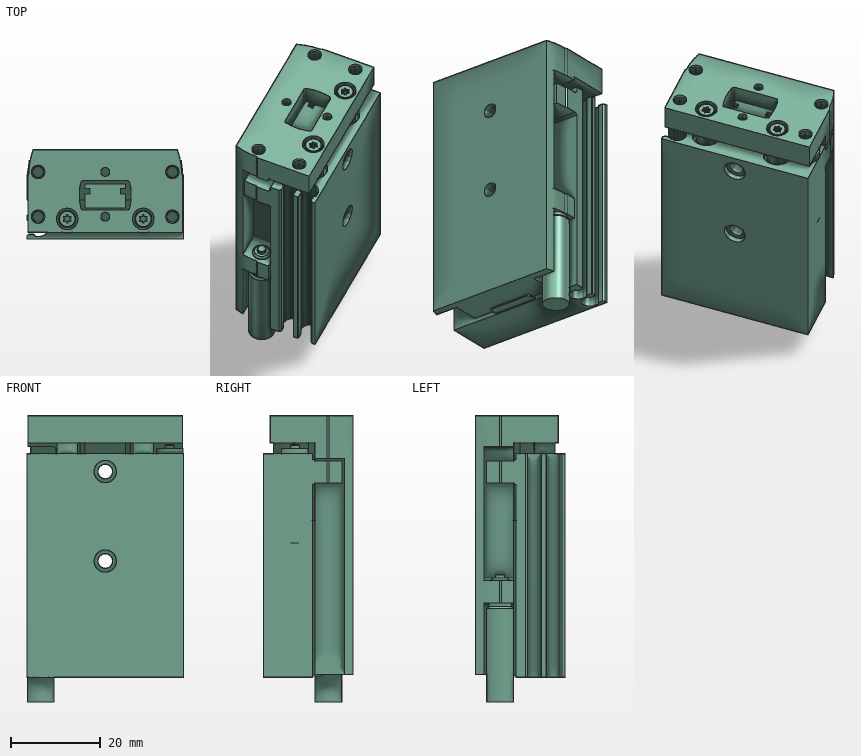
import cadquery as cq
import math


HOUSING_WIDTH = 35.0
HOUSING_DEPTH = 10.9
HOUSING_HEIGHT = 50.0
HOUSING_SIDE = HOUSING_WIDTH / 2

SENSOR_SLOT_YS = (2.6, 6.9)
SENSOR_SLOT_BORE = 4.0
SENSOR_SLOT_OPENING = 3.0
SENSOR_SLOT_X = -14.7
SENSOR_SLOT_SHOULDER_X = -16.0
FIN_CHAMFER = 0.2
OUTER_SLOT_CHAMFER = 0.43

MOUNT_HOLE_ZS = (26.0, 46.0)
MOUNT_HOLE_DIAMETER = 3.24
MOUNT_COUNTERBORE_DIAMETER = 5.0
MOUNT_COUNTERBORE_DEPTH = 1.2

RAIL_WIDTH = 9.0
RAIL_FRONT = 6.93
RAIL_BACK = 12.35
RAIL_BOTTOM = 0.3
RAIL_BED_TOP = 35.1
RAIL_TOP = 55.2
RAIL_NOTCH_FRONT = 10.1
RAIL_NOTCH_BACK = 11.35
RAIL_NOTCH_DEPTH = 1.1
RAIL_POCKET_FRONT = 8.72
RAIL_POCKET_WIDTH = 12.0

LUG_BOTTOM = 43.4
LUG_TOP = 48.4
LUG_BACK = 17.5
LUG_INNER_X = 11.4
LUG_ROOT_CHAMFER = 0.5

SLIDE_WIDTH = 34.6
SLIDE_SIDE = SLIDE_WIDTH / 2
SLIDE_BACK = 20.0
SLIDE_FRONT = 11.55
SLIDE_BOTTOM = 0.6
SLIDE_TOP = 58.5
YOKE_FRONT = 1.5
YOKE_BOTTOM = 52.4
FLANK_BEVEL_START = 14.2
FLANK_START = 14.6
FLANK_STEP = 0.25
FLANK_RADIUS = 16.0

RECESS_BACK = 18.1
RECESS_WALL_X = 11.0
RECESS_TOP = 51.6
HOLDER_BOTTOM = 16.6
HOLDER_TOP = 21.6
RECESS_FILLET = 0.75

CHANNEL_FRONT = 6.5
CHANNEL_BACK = 13.05
CHANNEL_END_WIDTH = 10.7
CHANNEL_WIDTH = 11.6
CHANNEL_FILLET = 0.6

TAPPED_HOLE_X = 15.0
DOWEL_DIAMETER = 2.0
YOKE_HOLE_YS = (5.0, 15.0)
TAPPED_HOLE_DIAMETER = 2.46
TAPPED_HOLE_RIM = 3.0
YOKE_HOLE_DEPTH = 4.0

ROD_X = 8.5
ROD_Y = 4.5
ROD_DIAMETER = 4.6
ROD_BOTTOM = 5.0
ROD_CLEARANCE_DIAMETER = 6.3
ROD_CLEARANCE_DEPTH = 2.0
ROD_HEAD_DIAMETER = 3.8
ROD_HEAD_CHAMFER = 0.17
ROD_HEAD_DROP = 0.3
ROD_HEAD_RECESS_DIAMETER = 4.8
ROD_HEAD_RECESS_DEPTH = 2.0
TORX_DIAMETER = 1.9
TORX_LOBE_WIDTH = 0.4
TORX_LOBE_ANGLES = (30, 90, 150)
TORX_CORE_DIAMETER = 1.2
TORX_DEPTH = 1.0

ABSORBER_X = 14.4
ABSORBER_DIAMETER = 6.0
SHOCK_Y = 14.5
SHOCK_BOTTOM = -5.5
SHOCK_BODY_TOP = 15.85
SHOCK_BODY_CHAMFER = 0.45
SHOCK_NECK_DIAMETER = 5.0
SHOCK_NOSE_DIAMETER = 4.1
SHOCK_NOSE_RIM = 3.24
SHOCK_NOSE_TOP = 22.23
SHOCK_PIN_TOP = 23.05
BUMPER_Y = 7.0
BUMPER_BOTTOM = 30.0
BUMPER_BODY_TOP = 51.2
BUMPER_PIN_TOP = 52.0
PIN_DIAMETER = 2.0
PIN_CHAMFER = 0.15


def block(x0, x1, y0, y1, z0, z1):
    """Box between opposite corner coordinates."""
    return cq.Workplane("XY").box(x1 - x0, y1 - y0, z1 - z0, centered=False).translate((x0, y0, z0))


def cylinder(x, y, diameter, z0, z1):
    """Upright cylinder from z0 to z1."""
    return cq.Workplane("XY", origin=(x, y, z0)).circle(diameter / 2).extrude(z1 - z0)


def flank_inset(y):
    """Distance of the rear flank arc inside the straight side at depth y."""
    return FLANK_STEP + FLANK_RADIUS - math.sqrt(FLANK_RADIUS**2 - (y - FLANK_START) ** 2)


def flank_outline(side, front, back, z0, z1):
    """Block of half width `side` whose rear flanks step in and curve towards the back."""
    middle_y = (FLANK_START + back) / 2
    middle_x = side - flank_inset(middle_y)
    back_x = side - flank_inset(back)
    return (
        cq.Workplane("XY", origin=(0, 0, z0))
        .moveTo(-side, front)
        .lineTo(side, front)
        .lineTo(side, FLANK_BEVEL_START)
        .lineTo(side - FLANK_STEP, FLANK_START)
        .threePointArc((middle_x, middle_y), (back_x, back))
        .lineTo(-back_x, back)
        .threePointArc((-middle_x, middle_y), (-side + FLANK_STEP, FLANK_START))
        .lineTo(-side, FLANK_BEVEL_START)
        .close()
        .extrude(z1 - z0)
    )


def mounting_holes():
    """Through holes along Y, with counterbores in the mounting face."""
    points = [(0, z) for z in MOUNT_HOLE_ZS]
    face = cq.Workplane("XZ").pushPoints(points)
    holes = face.circle(MOUNT_HOLE_DIAMETER / 2).extrude(-SLIDE_BACK)
    bores = face.circle(MOUNT_COUNTERBORE_DIAMETER / 2).extrude(-MOUNT_COUNTERBORE_DEPTH)
    return holes.union(bores)


def sensor_slot(y, front_chamfer, back_chamfer):
    """Undercut slot along Z with a round bottom, open to the left side through bevelled lips."""
    front = y - SENSOR_SLOT_OPENING / 2
    back = y + SENSOR_SLOT_OPENING / 2
    radius = SENSOR_SLOT_BORE / 2
    undercut = radius - SENSOR_SLOT_OPENING / 2
    return (
        cq.Workplane("XY")
        .moveTo(-HOUSING_SIDE, front - front_chamfer)
        .lineTo(-HOUSING_SIDE + front_chamfer, front)
        .lineTo(SENSOR_SLOT_SHOULDER_X, front)
        .lineTo(SENSOR_SLOT_SHOULDER_X + undercut, y - radius)
        .lineTo(SENSOR_SLOT_X, y - radius)
        .threePointArc((SENSOR_SLOT_X + radius, y), (SENSOR_SLOT_X, y + radius))
        .lineTo(SENSOR_SLOT_SHOULDER_X + undercut, y + radius)
        .lineTo(SENSOR_SLOT_SHOULDER_X, back)
        .lineTo(-HOUSING_SIDE + back_chamfer, back)
        .lineTo(-HOUSING_SIDE, back + back_chamfer)
        .close()
        .extrude(HOUSING_HEIGHT)
    )


def rail_channel(z0, z1):
    """Channel profile around the guide rail, with bowed sides and rounded corners."""
    end_half = CHANNEL_END_WIDTH / 2
    middle_y = (CHANNEL_FRONT + CHANNEL_BACK) / 2
    return (
        cq.Workplane("XY", origin=(0, 0, z0))
        .moveTo(-end_half, CHANNEL_FRONT)
        .lineTo(end_half, CHANNEL_FRONT)
        .threePointArc((CHANNEL_WIDTH / 2, middle_y), (end_half, CHANNEL_BACK))
        .lineTo(-end_half, CHANNEL_BACK)
        .threePointArc((-CHANNEL_WIDTH / 2, middle_y), (-end_half, CHANNEL_FRONT))
        .close()
        .extrude(z1 - z0)
        .edges("|Z")
        .fillet(CHANNEL_FILLET)
    )


def guide_rail():
    """Rail notched along both sides, standing on a bed that fills the lower part of the slide's channel."""
    half = RAIL_WIDTH / 2
    rail = block(-half, half, RAIL_FRONT, RAIL_BACK, RAIL_BED_TOP, RAIL_TOP)
    for x in (-half, half - RAIL_NOTCH_DEPTH):
        notch_end = x + RAIL_NOTCH_DEPTH
        rail = rail.cut(block(x, notch_end, RAIL_NOTCH_FRONT, RAIL_NOTCH_BACK, RAIL_BED_TOP, RAIL_TOP))
    return rail.union(rail_channel(RAIL_BOTTOM, RAIL_BED_TOP))


def stop_lugs():
    """Stop lugs behind the housing body, one on each side, with bevelled roots."""
    lugs = flank_outline(HOUSING_SIDE, HOUSING_DEPTH, LUG_BACK, LUG_BOTTOM, LUG_TOP)
    lugs = lugs.cut(block(-LUG_INNER_X, LUG_INNER_X, HOUSING_DEPTH, LUG_BACK, LUG_BOTTOM, LUG_TOP))
    root_back = HOUSING_DEPTH + LUG_ROOT_CHAMFER
    root = (
        cq.Workplane("YZ", origin=(-HOUSING_SIDE, 0, 0))
        .polyline([
            (HOUSING_DEPTH, LUG_BOTTOM - LUG_ROOT_CHAMFER),
            (root_back, LUG_BOTTOM),
            (root_back, LUG_TOP),
            (HOUSING_DEPTH, LUG_TOP + LUG_ROOT_CHAMFER),
        ])
        .close()
        .extrude(HOUSING_SIDE - LUG_INNER_X)
    )
    return lugs.union(root).union(root.mirror("YZ"))


def make_housing():
    body = block(-HOUSING_SIDE, HOUSING_SIDE, 0, HOUSING_DEPTH, 0, HOUSING_HEIGHT)
    front_slot_y, back_slot_y = SENSOR_SLOT_YS
    body = body.cut(sensor_slot(front_slot_y, OUTER_SLOT_CHAMFER, FIN_CHAMFER))
    body = body.cut(sensor_slot(back_slot_y, FIN_CHAMFER, OUTER_SLOT_CHAMFER))

    pocket_half = RAIL_POCKET_WIDTH / 2
    body = body.cut(
        block(-pocket_half, pocket_half, RAIL_POCKET_FRONT, HOUSING_DEPTH, RAIL_BED_TOP, HOUSING_HEIGHT)
    )
    body = body.union(guide_rail()).union(stop_lugs())

    for x in (-ROD_X, ROD_X):
        body = body.cut(cylinder(x, ROD_Y, ROD_DIAMETER, ROD_BOTTOM, HOUSING_HEIGHT))
        clearance_bottom = HOUSING_HEIGHT - ROD_CLEARANCE_DEPTH
        body = body.cut(cylinder(x, ROD_Y, ROD_CLEARANCE_DIAMETER, clearance_bottom, HOUSING_HEIGHT))
    body = body.cut(cylinder(ABSORBER_X, BUMPER_Y, ABSORBER_DIAMETER, BUMPER_BOTTOM, HOUSING_HEIGHT))
    return body.cut(mounting_holes())


def left_recess(z0, z1, rounded_ends):
    """Recess in the left side of the slide, rounded where its inner wall meets the given ends."""
    recess = block(-HOUSING_WIDTH, -RECESS_WALL_X, SLIDE_FRONT, RECESS_BACK, z0, z1)
    for end in rounded_ends:
        recess = recess.faces(">X").edges(end).fillet(RECESS_FILLET)
    return recess


def countersink(x, y, rim):
    """45-degree cone that bevels the rim of a tapped hole in the top of the yoke."""
    return (
        cq.Workplane("XY", origin=(x, y, SLIDE_TOP))
        .circle(TAPPED_HOLE_RIM / 2)
        .workplane(offset=-rim)
        .circle(TAPPED_HOLE_DIAMETER / 2)
        .loft()
    )


def make_slide():
    slide = flank_outline(SLIDE_SIDE, YOKE_FRONT, SLIDE_BACK, SLIDE_BOTTOM, SLIDE_TOP)
    slide = slide.cut(block(-SLIDE_SIDE, SLIDE_SIDE, YOKE_FRONT, SLIDE_FRONT, SLIDE_BOTTOM, YOKE_BOTTOM))
    slide = slide.cut(left_recess(HOLDER_TOP, RECESS_TOP, ("<Z", ">Z")))
    slide = slide.cut(left_recess(SLIDE_BOTTOM, HOLDER_BOTTOM, (">Z",)))
    right_recess_top = LUG_TOP + LUG_ROOT_CHAMFER
    slide = slide.cut(
        block(RECESS_WALL_X, SLIDE_SIDE, SLIDE_FRONT, RECESS_BACK, SLIDE_BOTTOM, right_recess_top)
    )
    slide = slide.cut(rail_channel(SLIDE_BOTTOM, SLIDE_TOP))

    for y in YOKE_HOLE_YS:
        hole_bottom = SLIDE_TOP - YOKE_HOLE_DEPTH
        slide = slide.cut(cylinder(0, y, DOWEL_DIAMETER, hole_bottom, SLIDE_TOP))
        for x in (-TAPPED_HOLE_X, TAPPED_HOLE_X):
            rim = (TAPPED_HOLE_RIM - TAPPED_HOLE_DIAMETER) / 2
            hole = cylinder(x, y, TAPPED_HOLE_DIAMETER, hole_bottom, SLIDE_TOP)
            slide = slide.cut(hole).cut(countersink(x, y, rim))
    for x in (-ROD_X, ROD_X):
        recess_bottom = SLIDE_TOP - ROD_HEAD_RECESS_DEPTH
        slide = slide.cut(cylinder(x, ROD_Y, ROD_HEAD_DIAMETER, YOKE_BOTTOM, SLIDE_TOP))
        slide = slide.cut(cylinder(x, ROD_Y, ROD_HEAD_RECESS_DIAMETER, recess_bottom, SLIDE_TOP))
    slide = slide.cut(cylinder(-ABSORBER_X, SHOCK_Y, SHOCK_NOSE_DIAMETER, HOLDER_BOTTOM, HOLDER_TOP))
    return slide.cut(mounting_holes())


def make_rod(x):
    head_top = SLIDE_TOP - ROD_HEAD_DROP
    rod = cylinder(x, ROD_Y, ROD_DIAMETER, ROD_BOTTOM, YOKE_BOTTOM)
    head = cylinder(x, ROD_Y, ROD_HEAD_DIAMETER, YOKE_BOTTOM, head_top)
    head = head.faces(">Z").chamfer(ROD_HEAD_CHAMFER)
    rod = rod.union(head).cut(cylinder(x, ROD_Y, TORX_CORE_DIAMETER, head_top - TORX_DEPTH, head_top))
    for angle in TORX_LOBE_ANGLES:
        lobe = (
            cq.Workplane("XY", origin=(x, ROD_Y, head_top))
            .slot2D(TORX_DIAMETER, TORX_LOBE_WIDTH, angle)
            .extrude(-TORX_DEPTH)
        )
        rod = rod.cut(lobe)
    return rod


def contact_pin(x, y, z0, z1):
    return cylinder(x, y, PIN_DIAMETER, z0, z1).faces(">Z").chamfer(PIN_CHAMFER)


def make_shock_absorber():
    x = -ABSORBER_X
    body = cylinder(x, SHOCK_Y, ABSORBER_DIAMETER, SHOCK_BOTTOM, SHOCK_BODY_TOP)
    body = body.faces(">Z").chamfer(SHOCK_BODY_CHAMFER)
    neck = cylinder(x, SHOCK_Y, SHOCK_NECK_DIAMETER, SHOCK_BODY_TOP, HOLDER_BOTTOM)
    nose = cylinder(x, SHOCK_Y, SHOCK_NOSE_DIAMETER, HOLDER_BOTTOM, SHOCK_NOSE_TOP)
    nose = nose.faces(">Z").chamfer((SHOCK_NOSE_DIAMETER - SHOCK_NOSE_RIM) / 2)
    return body.union(neck).union(nose).union(contact_pin(x, SHOCK_Y, SHOCK_NOSE_TOP, SHOCK_PIN_TOP))


def make_bumper():
    body = cylinder(ABSORBER_X, BUMPER_Y, ABSORBER_DIAMETER, BUMPER_BOTTOM, BUMPER_BODY_TOP)
    return body.union(contact_pin(ABSORBER_X, BUMPER_Y, BUMPER_BODY_TOP, BUMPER_PIN_TOP))


housing = make_housing()
slide = make_slide()
rods = [make_rod(x) for x in (-ROD_X, ROD_X)]
shock_absorber = make_shock_absorber()
bumper = make_bumper()

result = cq.Compound.makeCompound([
    housing.val(),
    slide.val(),
    *[rod.val() for rod in rods],
    shock_absorber.val(),
    bumper.val(),
])